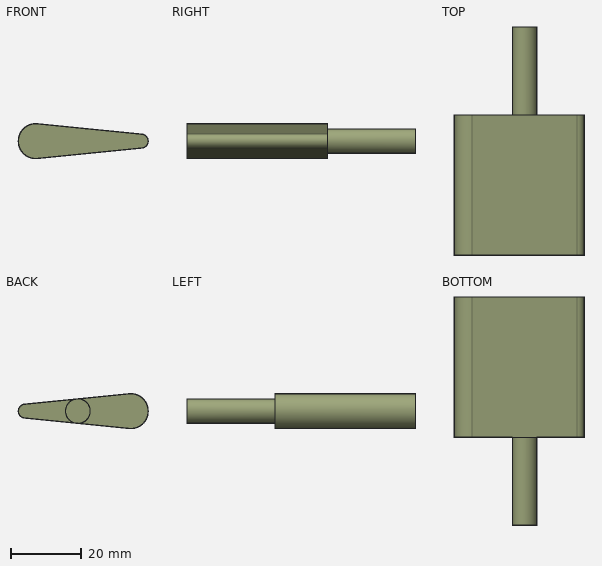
import cadquery as cq

total_length = 65.0
blade_length = 40.0
chord = 37.0
nose_radius = 5.0
tail_radius = 2.0
shaft_diameter = 7.0
shaft_offset = 20.0

nose_edge_x = -nose_radius
tail_edge_x = nose_edge_x + chord
tail_center_x = tail_edge_x - tail_radius
shaft_x = nose_edge_x + shaft_offset
shaft_length = total_length - blade_length


def make_blade():
    """Two half circles joined by straight flanks, extruded along +Y."""
    return (
        cq.Workplane("XZ")
        .moveTo(0, nose_radius)
        .lineTo(tail_center_x, tail_radius)
        .threePointArc((tail_edge_x, 0), (tail_center_x, -tail_radius))
        .lineTo(0, -nose_radius)
        .threePointArc((nose_edge_x, 0), (0, nose_radius))
        .close()
        .extrude(-blade_length)
    )


def make_shaft():
    """Round shaft standing on the +Y end face of the blade."""
    return (
        cq.Workplane("XZ", origin=(shaft_x, blade_length, 0))
        .circle(shaft_diameter / 2)
        .extrude(-shaft_length)
    )


result = make_blade().union(make_shaft())